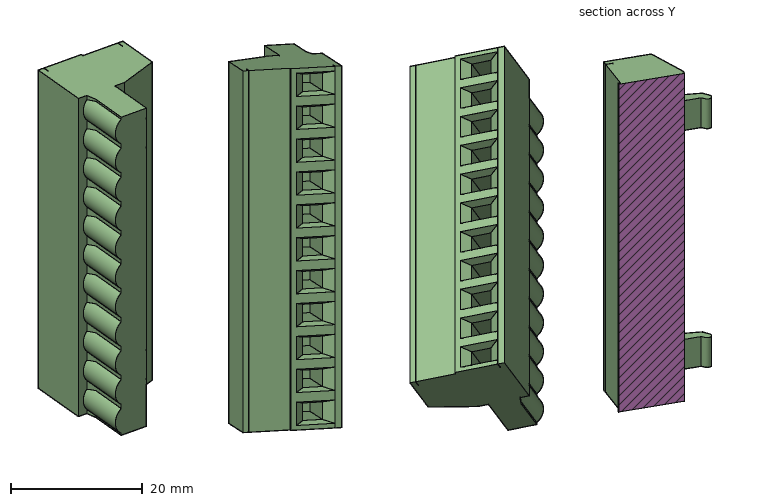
import cadquery as cq
import math

POLES = 11
PITCH = 5.08
LENGTH = POLES * PITCH
WIDTH = 18.85
DEPTH = 15.5

BACK_STEP = 0.4
BACK_STEP_Y = 8.05
TOP_END_X = 8.1
SLOPE_END_Y = 8.5
BODY_X = 10.65
BASE_X = 10.5
TONGUE_TOP_Y = 6.7
TONGUE_BOTTOM_Y = 2.0
RAMP_START_Y = 1.55
RAMP_END_X = 12.28

BARREL_RADIUS = 2.72
BARREL_BOTTOM_Y = 0.9

FUNNEL_Y_MIN = 1.1
FUNNEL_Y_MAX = 7.15
FUNNEL_HEIGHT = 3.6
FUNNEL_DEPTH = 1.3
THROAT_Y_MIN = 2.7
THROAT_Y_MAX = 5.8
THROAT_HEIGHT = 2.7
THROAT_END_X = 8.0

SLIT_WIDTH = 0.05
SLIT_END_X = 1.1
UPPER_SLIT_END_X = 1.6
UPPER_SLIT_INSET = 0.93
UPPER_SLIT_Y = DEPTH - UPPER_SLIT_INSET

HOOK_WIDTH = PITCH
HOOK_END_INSET = PITCH
HOOK_ROOT_X = 8.0
HOOK_TOP_ROOT_Y = 11.05
HOOK_BEND_X = 14.3
HOOK_BEND_Y = 9.95
HOOK_UNDERSIDE_X = 13.6
NOSE_RADIUS = 0.7
NOSE_X = 14.55
NOSE_Y = 8.5
NOSE_UPPER_ANGLE = 38
NOSE_LOWER_ANGLE = -130


def pole_centres():
    return [(i + 0.5) * PITCH for i in range(POLES)]


def housing():
    """Constant cross-section of the body and the tongue."""
    outline = [
        (0, 0),
        (BASE_X, 0),
        (BASE_X, RAMP_START_Y),
        (RAMP_END_X, TONGUE_BOTTOM_Y),
        (WIDTH, TONGUE_BOTTOM_Y),
        (WIDTH, TONGUE_TOP_Y),
        (BODY_X, TONGUE_TOP_Y),
        (BODY_X, SLOPE_END_Y),
        (TOP_END_X, DEPTH),
        (BACK_STEP, DEPTH),
        (BACK_STEP, BACK_STEP_Y),
        (0, BACK_STEP_Y),
    ]
    return cq.Workplane("XY").polyline(outline).close().extrude(LENGTH)


def barrel(z):
    """Round segment below the tongue, with its flanks sunk into the tongue."""
    axis_y = BARREL_BOTTOM_Y + BARREL_RADIUS
    half_chord = math.sqrt(BARREL_RADIUS**2 - (axis_y - TONGUE_BOTTOM_Y)**2)
    return (
        cq.Workplane("YZ", origin=(BASE_X, 0, z))
        .moveTo(TONGUE_BOTTOM_Y, -half_chord)
        .threePointArc((BARREL_BOTTOM_Y, 0), (TONGUE_BOTTOM_Y, half_chord))
        .lineTo(axis_y, half_chord)
        .lineTo(axis_y, -half_chord)
        .close()
        .extrude(WIDTH - BASE_X)
    )


def wire_entry(z):
    """Tapered mouth followed by a straight rectangular throat."""
    mouth_y = (FUNNEL_Y_MIN + FUNNEL_Y_MAX) / 2
    throat_y = (THROAT_Y_MIN + THROAT_Y_MAX) / 2
    throat_width = THROAT_Y_MAX - THROAT_Y_MIN
    mouth = (
        cq.Workplane("YZ", origin=(0, 0, z))
        .center(mouth_y, 0)
        .rect(FUNNEL_Y_MAX - FUNNEL_Y_MIN, FUNNEL_HEIGHT)
        .workplane(offset=FUNNEL_DEPTH)
        .center(throat_y - mouth_y, 0)
        .rect(throat_width, THROAT_HEIGHT)
        .loft(ruled=True)
    )
    throat = (
        cq.Workplane("YZ", origin=(FUNNEL_DEPTH, throat_y, z))
        .rect(throat_width, THROAT_HEIGHT)
        .extrude(THROAT_END_X - FUNNEL_DEPTH)
    )
    return mouth.union(throat)


def slit(y_min, end_x):
    """Full-length thin cut from the wire side."""
    return cq.Workplane("XY").box(end_x, SLIT_WIDTH, LENGTH, centered=False).translate((0, y_min, 0))


def nose_point(angle):
    """Point on the round end of the hook nose."""
    radians = math.radians(angle)
    return (NOSE_X + NOSE_RADIUS * math.cos(radians), NOSE_Y + NOSE_RADIUS * math.sin(radians))


def hook(z_start):
    """Arm with a sloped top and a downward, round-ended nose."""
    nose_middle_angle = (NOSE_UPPER_ANGLE + NOSE_LOWER_ANGLE) / 2
    return (
        cq.Workplane("XY", origin=(0, 0, z_start))
        .moveTo(HOOK_ROOT_X, SLOPE_END_Y)
        .lineTo(HOOK_ROOT_X, HOOK_TOP_ROOT_Y)
        .lineTo(HOOK_BEND_X, HOOK_BEND_Y)
        .lineTo(*nose_point(NOSE_UPPER_ANGLE))
        .threePointArc(nose_point(nose_middle_angle), nose_point(NOSE_LOWER_ANGLE))
        .lineTo(HOOK_UNDERSIDE_X, SLOPE_END_Y)
        .close()
        .extrude(HOOK_WIDTH)
    )


result = housing()
for z in pole_centres():
    result = result.union(barrel(z)).cut(wire_entry(z))
result = result.cut(slit(FUNNEL_Y_MIN - SLIT_WIDTH, SLIT_END_X))
result = result.cut(slit(UPPER_SLIT_Y - SLIT_WIDTH / 2, UPPER_SLIT_END_X))
for z_start in (HOOK_END_INSET, LENGTH - HOOK_END_INSET - HOOK_WIDTH):
    result = result.union(hook(z_start))